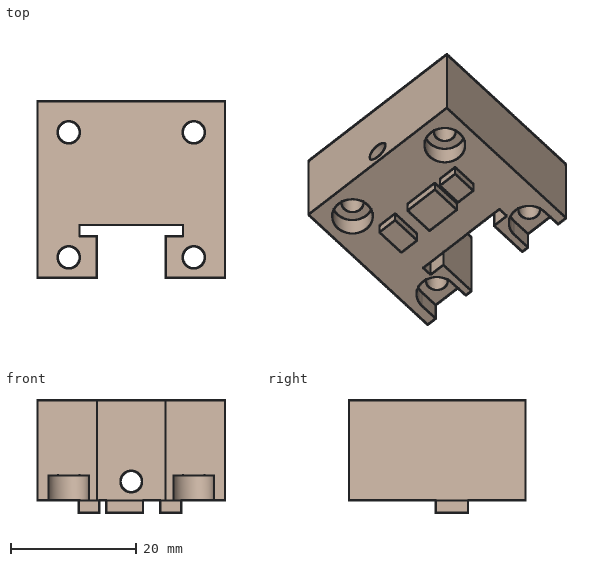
import cadquery as cq

width = 30.0
depth = 28.3
height = 16.0

slot_mouth_width = 11.0
slot_inner_width = 16.5
slot_mouth_depth = 6.7
slot_inner_depth = 1.75
slot_depth = slot_mouth_depth + slot_inner_depth

screw_spacing = 20.0
screw_diameter = 3.5
screw_back_margin = (width - screw_spacing) / 2
head_diameter = 6.5
head_recess_height = 4.0
screw_back_y = depth - screw_back_margin
screw_front_y = screw_back_y - screw_spacing

cross_hole_diameter = 3.4
cross_hole_z = 3.0

pad_height = 2.0
pad_back_y = 19.1
pads = [
    (-8.4, -5.1, 14.8),
    (-4.0, 1.9, 13.9),
    (4.6, 8.0, 13.9),
]


def box_between(x_min, x_max, y_min, y_max, z_min, z_max):
    """Box given by its limits along each axis."""
    box = cq.Workplane("XY").box(x_max - x_min, y_max - y_min, z_max - z_min, centered=False)
    return box.translate((x_min, y_min, z_min))


def centred_box(box_width, y_min, y_max, box_height):
    """Box centred on X, standing on the underside of the block."""
    return box_between(-box_width / 2, box_width / 2, y_min, y_max, 0, box_height)


def upright_cylinder(x, y, diameter, cylinder_height):
    """Vertical cylinder standing on the underside of the block."""
    return cq.Workplane("XY").center(x, y).circle(diameter / 2).extrude(cylinder_height)


def t_slot():
    mouth = centred_box(slot_mouth_width, 0, slot_mouth_depth, height)
    inner = centred_box(slot_inner_width, slot_mouth_depth, slot_depth, height)
    return mouth.union(inner)


def screw_cut(x, y):
    """Through hole with a round head recess."""
    hole = upright_cylinder(x, y, screw_diameter, height)
    recess = upright_cylinder(x, y, head_diameter, head_recess_height)
    return hole.union(recess)


def front_recess_opening(x):
    """Straight channel that opens a front head recess to the front face."""
    channel = centred_box(head_diameter, 0, screw_front_y, head_recess_height)
    return channel.translate((x, 0, 0))


def cross_hole():
    sketch = cq.Workplane("XZ").center(0, cross_hole_z).circle(cross_hole_diameter / 2)
    return sketch.extrude(-depth)


result = centred_box(width, 0, depth, height)
result = result.cut(t_slot())

for screw_x in (-screw_spacing / 2, screw_spacing / 2):
    for screw_y in (screw_front_y, screw_back_y):
        result = result.cut(screw_cut(screw_x, screw_y))
    result = result.cut(front_recess_opening(screw_x))

for pad_left, pad_right, pad_front_y in pads:
    result = result.union(box_between(pad_left, pad_right, pad_front_y, pad_back_y, -pad_height, 0))

result = result.cut(cross_hole())